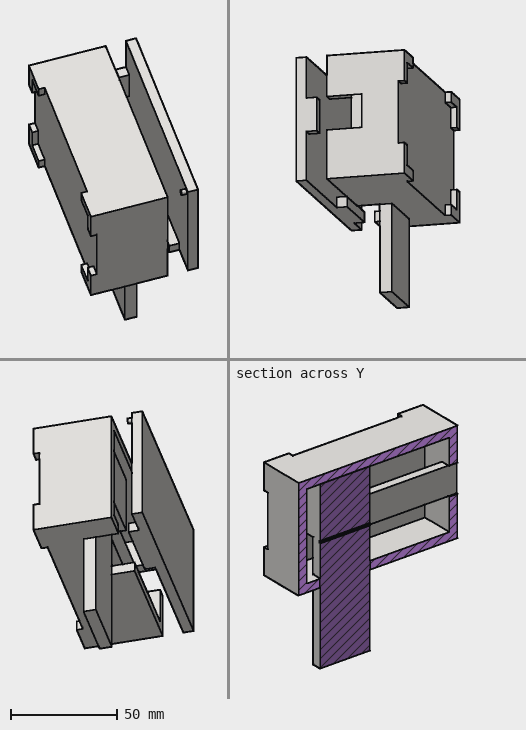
import cadquery as cq

width = 95.0
height = 60.0
housing_depth = 38.0
wall = 5.0
foot_depth = 3.0
foot_length = 14.9
cavity_floor_y = foot_depth + wall

notch_depth = 17.0
notch_floor_y = housing_depth - notch_depth
side_notch_z = 23.8
side_notch_height = 16.3
bottom_notch_x = 52.1
bottom_notch_width = 29.9

lid_gap = 10.0
lid_thickness = 5.0
lid_inner_y = housing_depth + lid_gap
tab_length = 5.0
pin_diameter = 2.6
pin_length = 2.6
pin_inset = wall / 2

arm_thickness = 4.9
strip_thickness = 6.0
strip_length = 43.0
core_recess = 4.1
core_lift = 1.0


def box(x, y, z, size_x, size_y, size_z):
    """Box placed by its lowest corner."""
    return cq.Workplane("XY").box(size_x, size_y, size_z, centered=False).translate((x, y, z))


def make_foot():
    """L-shaped foot at the lower -X corner."""
    upright = box(0, 0, 0, wall, foot_depth, foot_length)
    return upright.union(box(0, 0, 0, foot_length, foot_depth, wall))


def make_feet():
    """One foot in each of the four corners."""
    foot = make_foot()
    lower_pair = foot.union(foot.mirror("YZ", (width / 2, 0, 0)))
    return lower_pair.union(lower_pair.mirror("XY", (0, 0, height / 2)))


def make_housing():
    shell = box(0, foot_depth, 0, width, housing_depth - foot_depth, height)
    cavity = box(wall, cavity_floor_y, wall,
                 width - 2 * wall, housing_depth - cavity_floor_y, height - 2 * wall)
    side_notch = box(0, notch_floor_y, side_notch_z, wall, notch_depth, side_notch_height)
    bottom_notch = box(bottom_notch_x, notch_floor_y, 0, bottom_notch_width, notch_depth, wall)
    return shell.cut(cavity).cut(side_notch).cut(bottom_notch).union(make_feet())


def make_lid():
    """Plate with a tab facing each notch and a pin in the upper +X corner."""
    plate = box(0, lid_inner_y, 0, width, lid_thickness, height)
    tab_y = lid_inner_y - tab_length
    side_tab = box(0, tab_y, side_notch_z, wall, tab_length, side_notch_height)
    bottom_tab = box(bottom_notch_x, tab_y, 0, bottom_notch_width, tab_length, wall)
    pin = (
        cq.Workplane("XZ", origin=(width - pin_inset, lid_inner_y, height - pin_inset))
        .circle(pin_diameter / 2)
        .extrude(pin_length)
    )
    return plate.union(side_tab).union(bottom_tab).union(pin)


def make_insert():
    """Core resting on the cavity floor; its arm and strip rest on the notch floors."""
    core_z = side_notch_z + core_lift
    core = box(bottom_notch_x, cavity_floor_y, core_z, bottom_notch_width,
               housing_depth - core_recess - cavity_floor_y, height - wall - core_z)
    arm = box(0, notch_floor_y, side_notch_z,
              bottom_notch_x + bottom_notch_width, arm_thickness, side_notch_height)
    strip = box(bottom_notch_x, notch_floor_y, -strip_length,
                bottom_notch_width, strip_thickness, strip_length + side_notch_z)
    return core.union(arm).union(strip)


housing = make_housing()
lid = make_lid()
insert = make_insert()

result = cq.Compound.makeCompound([*housing.solids().vals(), *lid.solids().vals(), *insert.solids().vals()])